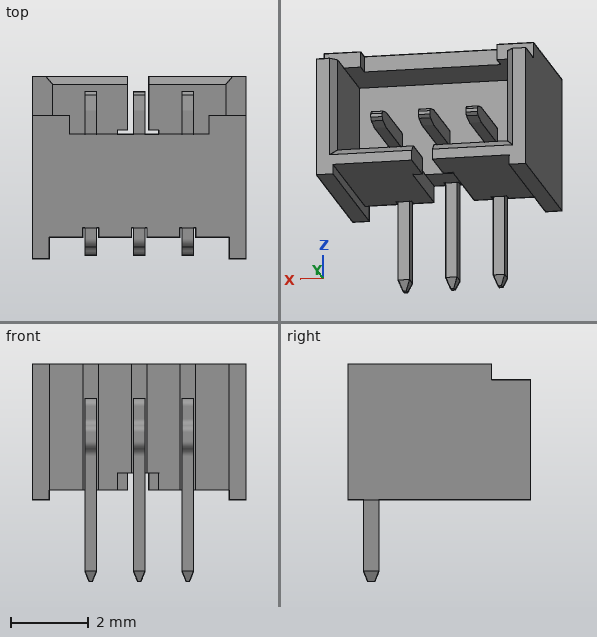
import cadquery as cq


width = 5.5
depth = 4.7
height = 3.5
overall_height = 5.6
end_wall = 0.435
front_face_y = 0.555
floor_bottom = 0.25
floor_thickness = 0.435
floor_top = floor_bottom + floor_thickness

cavity_wall = 0.52
cavity_depth = 3.0
roof_thickness = 0.41
cavity_width = width - 2 * cavity_wall
cavity_top = height - roof_thickness
flare_length = 0.21
flare_depth = 0.175

mouth_step = 1.0
roof_cut_depth = 1.485
roof_cut_width = 3.58
slot_x = -0.03
slot_width = 0.545
wide_slot_width = 1.05
wide_slot_end_y = depth - 1.385
groove_bottom_y = 0.8
outer_groove_width = 0.41
middle_groove_width = 0.385

pin_pitch = 1.25
pin_positions = (-pin_pitch, 0, pin_pitch)
pin_width = 0.3
pin_thickness = 0.405
leg_back_y = groove_bottom_y
leg_front_y = leg_back_y - pin_thickness
leg_bottom = height - overall_height
leg_tip_length = 0.27
leg_tip_width = 0.09
leg_tip_thickness = 0.19
heel_y = 0.31
heel_top = 2.605
heel_radius = 0.2
heel_bottom = 2.08
bump_y = 0.09
bump_top = 1.735
bump_bottom = 1.49
bump_end = 1.12
bar_center_z = (bump_top + bump_bottom) / 2
bar_top = bar_center_z + pin_thickness / 2
bar_bottom = bar_center_z - pin_thickness / 2
bar_end_y = depth - 0.39
bar_taper_length = 0.415
bar_taper = 0.08
bar_nose_length = 0.085
bar_nose = 0.08


def block(x_size, y_start, y_end, z_start, z_end, x_center=0):
    """Box centred on x_center in X and spanning the given Y and Z ranges."""
    size = (x_size, y_end - y_start, z_end - z_start)
    return cq.Workplane("XY").box(*size, centered=(True, False, False)).translate((x_center, y_start, z_start))


def mouth_flare():
    """Tapered volume that bevels the floor and end walls at the mouth."""
    start_y = depth - flare_length
    inner_half = cavity_width / 2
    outer_half = inner_half + flare_depth

    def section(y, half, bottom):
        return cq.Wire.makePolygon(
            [
                cq.Vector(-half, y, bottom),
                cq.Vector(half, y, bottom),
                cq.Vector(half, y, height),
                cq.Vector(-half, y, height),
            ],
            close=True,
        )

    inner = section(start_y, inner_half, floor_top)
    outer = section(depth, outer_half, floor_top - flare_depth)
    return cq.Workplane(obj=cq.Solid.makeLoft([inner, outer], True))


def housing():
    body = block(width, 0, depth, 0, height)
    inner_width = width - 2 * end_wall
    body = body.cut(block(inner_width, 0, front_face_y, 0, height))
    body = body.cut(block(inner_width, 0, depth, 0, floor_bottom))

    body = body.cut(block(cavity_width, depth - cavity_depth, depth, floor_top, cavity_top))
    body = body.cut(block(width, depth - mouth_step, depth, cavity_top, height))
    body = body.cut(block(roof_cut_width, depth - roof_cut_depth, depth, cavity_top, height))
    body = body.cut(mouth_flare())

    body = body.cut(block(slot_width, 0, depth, floor_bottom, floor_top, slot_x))
    body = body.cut(block(wide_slot_width, 0, wide_slot_end_y, floor_bottom, floor_top, slot_x))

    for x in pin_positions:
        groove_width = outer_groove_width if x else middle_groove_width
        body = body.cut(block(groove_width, 0, groove_bottom_y, floor_bottom, height, x))
    return body


def double_arc(outline, start, end):
    """Continue a vertical line at start with an S of two equal tangent arcs to end."""
    middle = ((start[0] + end[0]) / 2, (start[1] + end[1]) / 2)
    return outline.tangentArcPoint(middle, relative=False).tangentArcPoint(end, relative=False)


def pin():
    nose_start_y = bar_end_y - bar_nose_length
    taper_start_y = nose_start_y - bar_taper_length
    nose_inset = bar_taper + bar_nose
    leg_end = leg_bottom + leg_tip_length

    outline = (
        cq.Workplane("YZ")
        .moveTo(leg_back_y, heel_top)
        .lineTo(heel_y + heel_radius, heel_top)
        .tangentArcPoint((heel_y, heel_top - heel_radius), relative=False)
        .lineTo(heel_y, heel_bottom)
    )
    outline = double_arc(outline, (heel_y, heel_bottom), (bump_y, bump_top))
    outline = outline.lineTo(bump_y, bump_bottom)
    outline = double_arc(outline, (bump_y, bump_bottom), (leg_front_y, bump_end))
    outline = (
        outline.lineTo(leg_front_y, leg_end)
        .lineTo(leg_back_y, leg_end)
        .lineTo(leg_back_y, bar_bottom)
        .lineTo(taper_start_y, bar_bottom)
        .lineTo(nose_start_y, bar_bottom + bar_taper)
        .lineTo(bar_end_y, bar_bottom + nose_inset)
        .lineTo(bar_end_y, bar_top - nose_inset)
        .lineTo(nose_start_y, bar_top - bar_taper)
        .lineTo(taper_start_y, bar_top)
        .lineTo(leg_back_y, bar_top)
        .close()
    )
    shank = outline.extrude(pin_width / 2, both=True)

    tip = (
        cq.Workplane("XY")
        .workplane(offset=leg_bottom)
        .center(0, (leg_front_y + leg_back_y) / 2)
        .rect(leg_tip_width, leg_tip_thickness)
        .workplane(offset=leg_tip_length)
        .rect(pin_width, pin_thickness)
        .loft(ruled=True)
    )
    return shank.union(tip)


result = housing()
for pin_x in pin_positions:
    result = result.union(pin().translate((pin_x, 0, 0)))